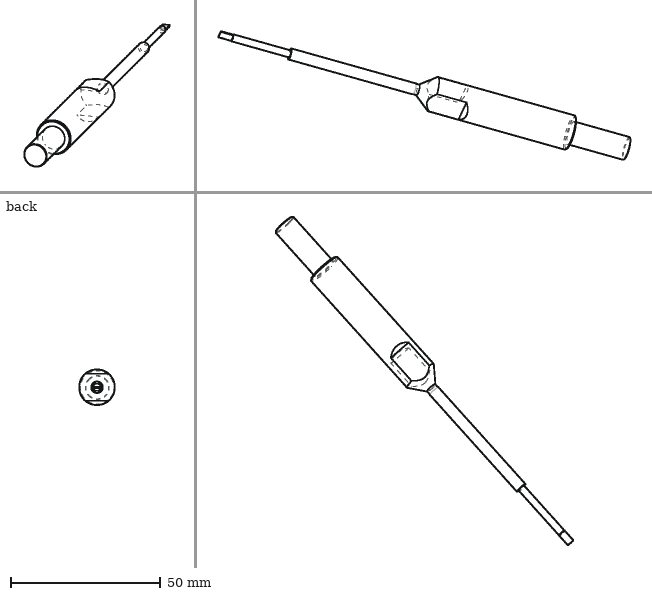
import cadquery as cq

tail_length = 20.0
body_end = 69.0
nose_end = 74.4
shaft_start = 75.8
shaft_end = 120.0
rod_end = 140.5
total_length = 145.0

tail_diameter = 8.0
body_diameter = 12.0
shaft_diameter = 3.9
rod_diameter = 2.5

neck_radius = 2.0

blade_width = rod_diameter
blade_thickness = 0.5

flat_spacing = 9.0
flat_start = 58.5
flat_depth = (body_diameter - flat_spacing) / 2
runout_length = flat_depth

body_chamfer = 0.4
tail_chamfer = 0.2


def cylinder(diameter, start, end):
    """Solid round section on the Y axis between two stations."""
    disc = cq.Workplane("XZ", origin=(0, start, 0)).circle(diameter / 2)
    return disc.extrude(start - end)


def make_tail():
    """Plain tail with a small edge break at its free end."""
    return cylinder(tail_diameter, 0, tail_length).faces("<Y").chamfer(tail_chamfer)


def make_nose():
    """Conical nose on the body, followed by a short hollow-sided neck."""
    profile = (
        cq.Workplane("XY")
        .moveTo(0, body_end)
        .lineTo(body_diameter / 2, body_end)
        .lineTo(shaft_diameter / 2, nose_end)
        .radiusArc((shaft_diameter / 2, shaft_start), neck_radius)
        .lineTo(0, shaft_start)
        .close()
    )
    return profile.revolve(360, (0, 0, 0), (0, 1, 0))


def make_flat_cutter(side):
    """Cutter for one grip flat; side is +1 above the axis and -1 below it."""
    flat_height = side * flat_spacing / 2
    crest_height = side * body_diameter / 2
    profile = (
        cq.Workplane("YZ")
        .moveTo(flat_start, flat_height)
        .lineTo(nose_end, flat_height)
        .lineTo(nose_end, crest_height)
        .lineTo(flat_start - runout_length, crest_height)
        .close()
    )
    return profile.extrude(body_diameter / 2, both=True)


def make_body():
    """Handle body with its nose and the two grip flats."""
    body = cylinder(body_diameter, tail_length, body_end).faces("<Y").chamfer(body_chamfer)
    body = body.union(make_nose())
    for side in (1, -1):
        body = body.cut(make_flat_cutter(side))
    return body


def make_blade():
    """Thin flat blade that forms the tip."""
    blade_length = total_length - rod_end
    blade = cq.Workplane("XY").box(blade_width, blade_length, blade_thickness)
    return blade.translate((0, rod_end + blade_length / 2, 0))


shaft = cylinder(shaft_diameter, shaft_start, shaft_end)
rod = cylinder(rod_diameter, shaft_end, rod_end)
result = make_tail().union(make_body()).union(shaft).union(rod).union(make_blade())